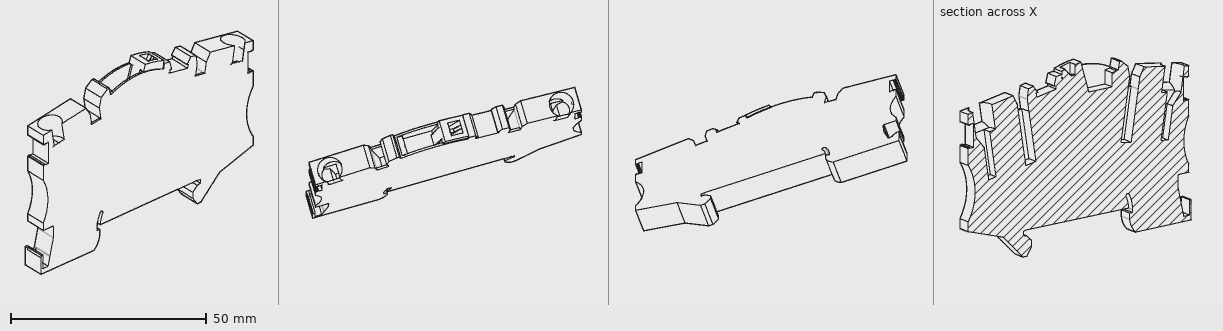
import cadquery as cq
import math


width = 6.15
length = 71.6
height = 48.83
half_length = 35.4
foot_end_y = half_length - length
rail_z = 6.87

shoulder_z = 41.5
shoulder_peak_y = 20.95
shoulder_peak_z = 43.86
shoulder_tilt = math.atan2(shoulder_peak_z - shoulder_z, half_length - shoulder_peak_y)
shoulder_bend_y, shoulder_bend_z = 19.58, 41.4
notch_outer_y, notch_outer_z = 19.06, 38.26
notch_inner_y, notch_inner_z = 15.95, 38.67
notch_bulge_y, notch_bulge_z = 16.5, 42.1

back_hollow_bottom_z, back_hollow_top_z = 12.75, 27.85
back_hollow_depth = 2.2
front_hollow_bottom_z, front_hollow_top_z = 15.09, 27.99
front_hollow_depth = 1.57

claw_root_z = 10.06
claw_knee = (24.12, 6.49)
claw_tip_outer_y, claw_tip_inner_y = 17.71, 16.55
claw_nose_y = 15.0
claw_nose_bottom_z, claw_nose_top_z = 2.3, 4.08
claw_back_z = 5.54
claw_seat_y = 17.57
claw_seat_bottom_z, claw_seat_top_z = 5.81, 6.84
rail_seat_corner = (16.76, 7.06)

slit_mouth_y = -16.17
slit_inner_middle, slit_inner_end = (-15.88, 8.65), (-15.25, 10.3)
slit_crown, slit_outer_start = (-15.62, 10.78), (-16.22, 10.5)
slit_outer_middle, slit_outer_end = (-17.0, 8.4), (-17.22, 6.3)
foot_nose_y, foot_nose_z = -16.3, 3.87
foot_nose_middle = (-16.9, 1.84)
foot_toe_y = -18.33
foot_recess_y = -31.9
foot_recess_z = 12.9
foot_recess_bevel = 0.25

groove_depth = 1.75
groove_bottom_z, groove_top_z = 32.37, 38.67
ridge_height = 0.25
ridge_near, ridge_far = 0.25, 0.8

latch_back = (-15.87, 45.0)
latch_top_outer_y, latch_top_inner_y = -13.74, -13.1
latch_top_z = 46.72
step_top = (7.25, 46.45)
step_nub, step_nub_root, step_foot = (7.9, 44.0), (7.36, 43.9), (7.2, 43.1)
marker_root, marker_lip, marker_tip = (13.25, 42.1), (13.5, 43.1), (13.04, 43.25)
marker_top, marker_back = (14.38, 45.16), (16.09, 44.8)

dome_radius = 20.6
dome_y = -3.2
dome_top_z = 46.87
dome_end_y = -12.66
button_width = 5.7
button_back_y, button_back_z = 5.46, 47.48
button_front_y = -0.81
button_base_back_y = 5.19
button_base_front_y = -1.43
button_recess_width = 3.45
button_recess_back_y, button_recess_front_y = 4.25, 1.15
button_recess_depth = 5.0
button_recess_start_z = 47.78
button_crown_rise = 0.2
button_rib_width = 0.9
button_rib_ramp = 2.0

window_width = 5.0
window_floor_z = 40.4
window_end_y = -12.18
shelf_edge_y = -10.7
shelf_end_z, shelf_edge_z = 44.4, 44.15
stem_width = 2.98
stem_setback = 0.5

opening_x = 0.4
opening_y = 30.84
opening_radius = 3.17
opening_depth = 6.9
throat_width = 3.75
throat_inner = -1.2
throat_outer = 1.0
throat_ramp_depth = 10.5
throat_depth = 19.5
mouth_clearance = 1.0
side_ramp_rise = 1.8

lip_z = 5.57
lip_top_y = -35.5
lip_bevel_run, lip_bevel_drop = 0.2, 0.57
web_thickness = 0.8
release_wall_top_y, release_wall_top_z = -32.0, 9.4
release_wall_lean = 0.225
release_hook_z = 4.4
release_floor_z = 1.5
hook_start, hook_bottom = (-34.34, 4.25), (-33.7, 3.8)

slot_width = 5.0
slot_depth = 14.0


def dome_z(y):
    """Height of the dome arc at position y."""
    return dome_top_z - dome_radius + math.sqrt(dome_radius ** 2 - (y - dome_y) ** 2)


def release_wall_y(z):
    """Position of the leaning wall behind the release lip at height z."""
    return release_wall_top_y - release_wall_lean * (release_wall_top_z - z)


def extrude_yz(sketch, thickness):
    """Extrude a closed YZ sketch symmetrically about X = 0."""
    return sketch.close().extrude(thickness / 2, both=True)


def prism(points, thickness):
    """Symmetric prism over a polygon in the YZ plane."""
    return extrude_yz(cq.Workplane("YZ").polyline(points), thickness)


def groove_points(side):
    """Label groove outline from top to bottom; side is +1 or -1 along Y."""
    end = half_length
    ridge_mid = (ridge_near + ridge_far) / 2
    upper = [
        (end, groove_top_z),
        (end - ridge_near, groove_top_z),
        (end - ridge_mid, groove_top_z - ridge_height),
        (end - ridge_far, groove_top_z),
        (end - groove_depth, groove_top_z),
    ]
    lower = [
        (end - groove_depth, groove_bottom_z),
        (end - ridge_far, groove_bottom_z),
        (end - ridge_mid, groove_bottom_z + ridge_height),
        (end - ridge_near, groove_bottom_z),
        (end, groove_bottom_z),
    ]
    return [(side * y, z) for y, z in upper + lower]


def make_housing():
    """Full-width housing, its outline followed from the top of the +Y end face."""
    s = cq.Workplane("YZ").moveTo(half_length, shoulder_z)
    for point in groove_points(1):
        s = s.lineTo(*point)
    hollow_middle_z = (back_hollow_bottom_z + back_hollow_top_z) / 2
    s = s.lineTo(half_length, back_hollow_top_z)
    s = s.threePointArc((half_length - back_hollow_depth, hollow_middle_z),
                        (half_length, back_hollow_bottom_z))
    s = s.lineTo(half_length, claw_root_z).lineTo(*claw_knee)
    s = s.lineTo(claw_tip_outer_y, 0).lineTo(claw_tip_inner_y, 0)
    s = s.lineTo(claw_nose_y, claw_nose_bottom_z).lineTo(claw_nose_y, claw_nose_top_z)
    s = s.lineTo(claw_tip_inner_y, claw_back_z).lineTo(claw_seat_y, claw_seat_bottom_z)
    s = s.lineTo(claw_seat_y, claw_seat_top_z).lineTo(*rail_seat_corner)
    s = s.lineTo(slit_mouth_y, rail_z)
    s = s.threePointArc(slit_inner_middle, slit_inner_end)
    s = s.threePointArc(slit_crown, slit_outer_start)
    s = s.threePointArc(slit_outer_middle, slit_outer_end)
    s = s.lineTo(slit_outer_end[0], lip_z).lineTo(foot_nose_y, lip_z).lineTo(foot_nose_y, foot_nose_z)
    s = s.threePointArc(foot_nose_middle, (foot_toe_y, 0))
    s = s.lineTo(foot_end_y, 0).lineTo(foot_end_y, lip_z)
    s = s.lineTo(lip_top_y, lip_z).lineTo(*hook_start)
    s = s.threePointArc(hook_bottom, (release_wall_y(release_hook_z), release_hook_z))
    s = s.lineTo(release_wall_top_y, release_wall_top_z)
    s = s.lineTo(foot_recess_y, foot_recess_z - foot_recess_bevel)
    s = s.lineTo(foot_recess_y - foot_recess_bevel, foot_recess_z)
    hollow_middle_z = (front_hollow_bottom_z + front_hollow_top_z) / 2
    s = s.lineTo(-half_length, foot_recess_z).lineTo(-half_length, front_hollow_bottom_z)
    s = s.threePointArc((front_hollow_depth - half_length, hollow_middle_z),
                        (-half_length, front_hollow_top_z))
    for point in reversed(groove_points(-1)):
        s = s.lineTo(*point)
    s = s.lineTo(-half_length, shoulder_z).lineTo(-shoulder_peak_y, shoulder_peak_z)
    s = s.lineTo(-shoulder_bend_y, shoulder_bend_z)
    s = s.lineTo(-notch_outer_y, notch_outer_z).lineTo(-notch_inner_y, notch_inner_z)
    s = s.lineTo(-notch_bulge_y, notch_bulge_z).lineTo(*latch_back)
    s = s.lineTo(latch_top_outer_y, latch_top_z).lineTo(latch_top_inner_y, latch_top_z)
    s = s.lineTo(dome_end_y, dome_z(dome_end_y))
    s = s.threePointArc((dome_y, dome_top_z), (button_base_back_y, dome_z(button_base_back_y)))
    s = s.lineTo(button_back_y, latch_top_z).lineTo(*step_top)
    s = s.lineTo(*step_nub).lineTo(*step_nub_root).lineTo(*step_foot)
    s = s.lineTo(*marker_root).lineTo(*marker_lip).lineTo(*marker_tip)
    s = s.lineTo(*marker_top).lineTo(*marker_back)
    s = s.lineTo(notch_bulge_y, notch_bulge_z).lineTo(notch_inner_y, notch_inner_z)
    s = s.lineTo(notch_outer_y, notch_outer_z).lineTo(shoulder_bend_y, shoulder_bend_z)
    s = s.lineTo(shoulder_peak_y, shoulder_peak_z)
    return extrude_yz(s, width)


def make_button():
    """Raised button with an arched top, standing on the dome."""
    crown_y = (button_back_y + button_front_y) / 2
    crown_z = (button_back_z + height) / 2 + button_crown_rise
    base_y = (button_base_back_y + button_base_front_y) / 2
    s = cq.Workplane("YZ").moveTo(button_back_y, button_back_z)
    s = s.threePointArc((crown_y, crown_z), (button_front_y, height))
    s = s.lineTo(button_base_front_y, dome_z(button_base_front_y))
    s = s.threePointArc((base_y, dome_z(base_y)), (button_base_back_y, dome_z(button_base_back_y)))
    return extrude_yz(s, button_width)


def make_button_recess():
    """Ramped recess in the button, with a narrow rib left standing along its middle."""
    start_z = button_recess_start_z
    deep_z = start_z - button_recess_depth
    rib_y = button_recess_back_y - button_rib_ramp
    rib_z = start_z - button_rib_ramp
    recess = prism([
        (button_recess_back_y, height),
        (button_recess_back_y, start_z),
        (button_recess_front_y, deep_z),
        (button_recess_front_y, height),
    ], button_recess_width)
    rib = prism([
        (button_recess_back_y, start_z),
        (rib_y, rib_z),
        (button_recess_front_y, rib_z),
        (button_recess_front_y, deep_z),
    ], button_rib_width)
    return recess.cut(rib)


def make_window():
    """Window cut down through the dome; the button's front face runs on as a narrow stem."""
    base_z = dome_z(button_base_front_y)
    lean = (button_front_y - button_base_front_y) / (height - base_z)
    stem_foot_y = button_base_front_y - lean * (base_z - window_floor_z)

    far_side = [
        (shelf_edge_y, window_floor_z),
        (shelf_edge_y, shelf_edge_z),
        (window_end_y, shelf_end_z),
        (window_end_y, height),
        (button_base_front_y, height),
        (button_base_front_y, base_z),
    ]
    stem_front = [(stem_foot_y, window_floor_z)] + far_side
    beside_stem = [
        (button_base_front_y + stem_setback, base_z),
        (stem_foot_y + stem_setback, window_floor_z),
    ] + far_side
    stem = prism(beside_stem, stem_width).cut(prism(stem_front, stem_width))
    return prism(beside_stem, window_width).cut(stem)


def shoulder_plane(y, z, side):
    """Plane square to X with its local axes along and normal to a shoulder slope."""
    return cq.Plane(
        origin=(0, y, z),
        xDir=(0, side * math.cos(shoulder_tilt), -math.sin(shoulder_tilt)),
        normal=(side, 0, 0),
    )


def make_terminal_opening(side):
    """Round screwdriver/wire opening narrowing to a rectangular throat."""
    z = shoulder_z + (half_length - opening_y) * math.tan(shoulder_tilt)
    frame = shoulder_plane(side * opening_y, z, side)
    axis = cq.Plane(origin=frame.toWorldCoords((0, 0, side * opening_x)),
                    xDir=(1, 0, 0), normal=frame.yDir)
    ramp_plane = cq.Plane(origin=frame.origin, xDir=(1, 0, 0), normal=frame.xDir * -side)
    bore = (cq.Workplane(axis).workplane(offset=-throat_depth)
            .circle(opening_radius).extrude(throat_depth + mouth_clearance))
    mouth = (cq.Workplane(axis).workplane(offset=-opening_depth)
             .circle(opening_radius).extrude(opening_depth + mouth_clearance))
    throat = cq.Workplane(frame).polyline([
        (throat_inner, -opening_depth),
        (opening_radius, -opening_depth),
        (throat_outer, -throat_ramp_depth),
        (throat_outer, -throat_depth),
        (throat_inner, -throat_depth),
    ]).close().extrude(throat_width / 2, both=True)
    side_ramp = (cq.Workplane(ramp_plane).polyline([
        (throat_width / 2, -opening_depth),
        (width / 2, -opening_depth),
        (width / 2, -opening_depth + side_ramp_rise),
    ]).close().extrude(opening_radius, both=True))
    return mouth.cut(side_ramp).union(throat.intersect(bore))


def make_release_channel():
    """Deep channel and bevelled edge of the release lip, clear of the -X web."""
    channel = [
        (release_wall_y(lip_z), lip_z),
        (release_wall_y(release_floor_z), release_floor_z),
        (lip_top_y, release_floor_z),
        (lip_top_y, lip_z),
    ]
    bevel = [
        (foot_end_y, lip_z - lip_bevel_drop),
        (foot_end_y + lip_bevel_run, lip_z),
        (foot_end_y, lip_z),
    ]
    behind_web = cq.Workplane("YZ", origin=(web_thickness - width / 2, 0, 0))
    cutter = behind_web.polyline(channel).close().extrude(width)
    return cutter.add(behind_web.polyline(bevel).close().extrude(width)).combine()


def make_bridge_slot(side):
    """Slot continuing the notch downward, square to the notch floor."""
    frame = shoulder_plane(side * notch_outer_y, notch_outer_z, side)
    floor_length = math.hypot(notch_outer_y - notch_inner_y, notch_outer_z - notch_inner_z)
    return (cq.Workplane(frame)
            .polyline([(0, 0), (-floor_length, 0), (-floor_length, -slot_depth), (0, -slot_depth)])
            .close().extrude(slot_width / 2, both=True))


result = make_housing().union(make_button())
result = result.cut(make_button_recess()).cut(make_window()).cut(make_release_channel())
for end in (1, -1):
    result = result.cut(make_terminal_opening(end)).cut(make_bridge_slot(end))